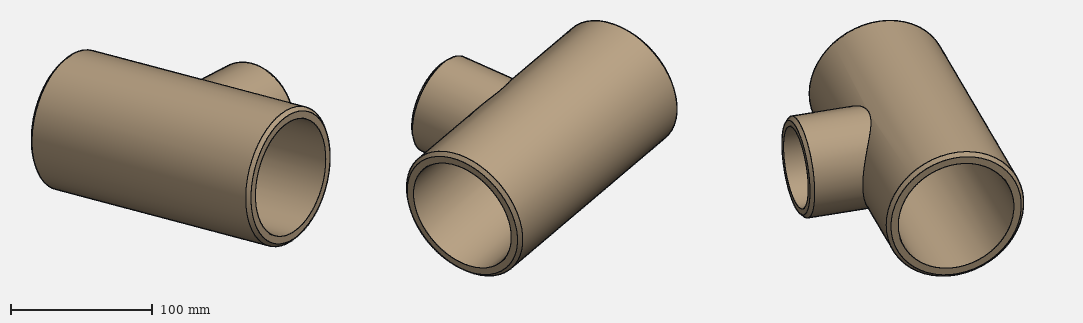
import cadquery as cq

run_length = 190.5
run_diameter = 101.5
run_bore = 85.3
branch_diameter = 73.0
branch_bore = 59.0
branch_reach = 89.0
end_chamfer = 2.7


def run_cylinder(diameter):
    """Cylinder along X, centred on the origin."""
    return cq.Workplane("YZ").circle(diameter / 2).extrude(run_length / 2, both=True)


def branch_cylinder(diameter):
    """Cylinder from the run axis to the branch end."""
    return cq.Workplane("XZ").circle(diameter / 2).extrude(-branch_reach)


run = run_cylinder(run_diameter).faces("<X or >X").chamfer(end_chamfer)
branch = branch_cylinder(branch_diameter).faces(">Y").chamfer(end_chamfer)

result = run.union(branch).cut(run_cylinder(run_bore)).cut(branch_cylinder(branch_bore))